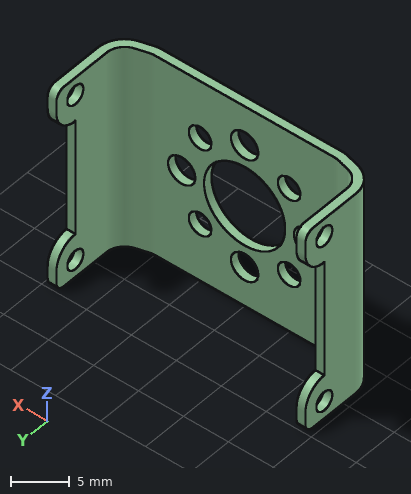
import cadquery as cq
import math

width = 28.7
depth = 10.0
height = 23.0
thickness = 1.0

bend_radius = 2.98
slope_angle = math.radians(15)
plate_flat_width = 20.0

bore_diameter = 9.0
hole_circle_radius = 7.0
large_hole_diameter = 3.0
small_hole_diameter = 2.5
hole_count = 8

ear_projection = 2.5
ear_height = 5.0
ear_corner_radius = 1.0
ear_hole_diameter = 2.1
ear_hole_inset = 2.0

flange_edge_y = depth - ear_projection


def corner_path(offset):
    """Half section, from plate to flange tip, lying `offset` inside the outer skin."""
    radius = bend_radius - offset
    plate_bend_x = plate_flat_width / 2
    flange_bend_x = width / 2 - bend_radius

    def on_bend(center, angle):
        return (center[0] + radius * math.sin(angle), center[1] - radius * math.cos(angle))

    plate_center = (plate_bend_x, bend_radius)
    center_rise = (flange_bend_x - plate_bend_x) * math.tan(slope_angle)
    flange_center = (flange_bend_x, bend_radius + center_rise)
    flange_mid_angle = (slope_angle + math.pi / 2) / 2
    return {
        "plate_end": on_bend(plate_center, 0),
        "plate_mid": on_bend(plate_center, slope_angle / 2),
        "slope_start": on_bend(plate_center, slope_angle),
        "slope_end": on_bend(flange_center, slope_angle),
        "flange_mid": on_bend(flange_center, flange_mid_angle),
        "flange_start": on_bend(flange_center, math.pi / 2),
        "tip": (width / 2 - offset, depth),
    }


def make_channel():
    outer = corner_path(0)
    inner = corner_path(thickness)
    half = (
        cq.Workplane("XY")
        .moveTo(0, 0)
        .lineTo(*outer["plate_end"])
        .threePointArc(outer["plate_mid"], outer["slope_start"])
        .lineTo(*outer["slope_end"])
        .threePointArc(outer["flange_mid"], outer["flange_start"])
        .lineTo(*outer["tip"])
        .lineTo(*inner["tip"])
        .lineTo(*inner["flange_start"])
        .threePointArc(inner["flange_mid"], inner["slope_end"])
        .lineTo(*inner["slope_start"])
        .threePointArc(inner["plate_mid"], inner["plate_end"])
        .lineTo(0, thickness)
        .close()
        .extrude(height / 2, both=True)
    )
    return half.union(half.mirror("YZ"))


def make_side_blank():
    """Side outline across the full width; the channel is trimmed to it."""
    top = height / 2
    ear_bottom = top - ear_height
    diagonal = math.sqrt(0.5)
    ear_arc_mid = (
        flange_edge_y + ear_projection * diagonal,
        ear_bottom + ear_projection * (1 - diagonal),
    )
    corner_mid = (
        depth - ear_corner_radius * (1 - diagonal),
        top - ear_corner_radius * (1 - diagonal),
    )
    upper_half = (
        cq.Workplane("YZ")
        .moveTo(0, 0)
        .lineTo(flange_edge_y, 0)
        .lineTo(flange_edge_y, ear_bottom)
        .threePointArc(ear_arc_mid, (depth, ear_bottom + ear_projection))
        .lineTo(depth, top - ear_corner_radius)
        .threePointArc(corner_mid, (depth - ear_corner_radius, top))
        .lineTo(0, top)
        .close()
        .extrude(width / 2, both=True)
    )
    return upper_half.union(upper_half.mirror("XY"))


def make_ear_holes():
    hole_z = height / 2 - ear_hole_inset
    return (
        cq.Workplane("YZ")
        .pushPoints([(flange_edge_y, hole_z), (flange_edge_y, -hole_z)])
        .circle(ear_hole_diameter / 2)
        .extrude(width / 2, both=True)
    )


def make_plate_holes():
    """Central bore ringed by alternating large and small holes."""
    holes = cq.Workplane("XZ").circle(bore_diameter / 2).extrude(-thickness)
    for index in range(hole_count):
        angle = 2 * math.pi * index / hole_count
        diameter = large_hole_diameter if index % 2 == 0 else small_hole_diameter
        hole = (
            cq.Workplane("XZ")
            .center(hole_circle_radius * math.cos(angle), hole_circle_radius * math.sin(angle))
            .circle(diameter / 2)
            .extrude(-thickness)
        )
        holes = holes.union(hole)
    return holes


result = make_channel().intersect(make_side_blank()).cut(make_ear_holes()).cut(make_plate_holes())